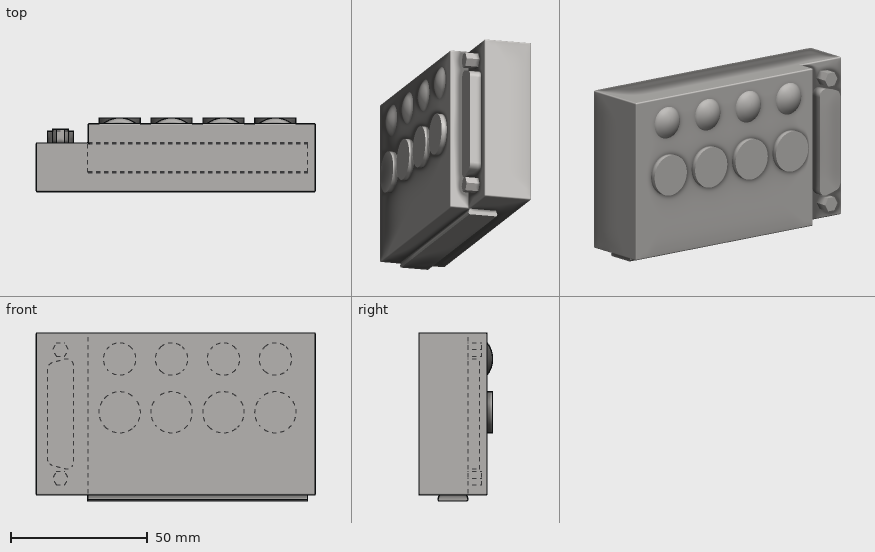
import cadquery as cq
import math

LENGTH = 102.0
HEIGHT = 59.4
DEPTH = 25.0
SHELF_LENGTH = 19.0
SHELF_DEPTH = 18.0
EDGE_RADIUS = 0.5

CONTROL_COUNT = 4
CONTROL_PITCH = 19.0
FIRST_CONTROL_X = 30.5
CONTROL_HEIGHT = 2.0
BUTTON_DIAMETER = 15.1
BUTTON_Z = 30.3
DOME_BASE_RADIUS = 5.9
DOME_Z = HEIGHT - 9.6

CONNECTOR_X = 8.9
CONNECTOR_Z = HEIGHT / 2
CONNECTOR_LENGTH = 40.2
CONNECTOR_WIDTH = 9.6
CONNECTOR_HEIGHT = 4.3
CONNECTOR_CORNER_RADIUS = 2.7
CONNECTOR_TAPER_ANGLE = 15.0
POST_SIDES = 6
POST_ACROSS_FLATS = 5.0
POST_HEIGHT = 5.0
POST_SPACING = 47.0

RAIL_START_X = 18.8
RAIL_END_X = 99.2
RAIL_HEIGHT = 2.1
RAIL_TOP_WIDTH = 10.1
RAIL_WIDEST = 11.1
RAIL_BOTTOM_WIDTH = 10.4
RAIL_LIP_HEIGHT = 0.6


def back_plane(y):
    """Sketch plane facing +Y at the given depth; local x is -X, local y is Z."""
    return cq.Workplane(cq.Plane(origin=(0, y, 0), xDir=(-1, 0, 0), normal=(0, 1, 0)))


def make_housing():
    block = cq.Workplane("XY").box(LENGTH, DEPTH, HEIGHT, centered=False)
    notch = (
        cq.Workplane("XY")
        .box(SHELF_LENGTH, DEPTH - SHELF_DEPTH, HEIGHT, centered=False)
        .translate((0, SHELF_DEPTH, 0))
    )
    inner_corner = cq.selectors.NearestToPointSelector((SHELF_LENGTH, SHELF_DEPTH, HEIGHT / 2))
    housing = block.cut(notch)
    all_edges = cq.selectors.StringSyntaxSelector("|X or |Y or |Z")
    outer_edges = housing.edges(all_edges - inner_corner)
    return outer_edges.fillet(EDGE_RADIUS)


def make_button(x):
    return back_plane(DEPTH).center(-x, BUTTON_Z).circle(BUTTON_DIAMETER / 2).extrude(CONTROL_HEIGHT)


def make_dome(x):
    sphere_radius = (DOME_BASE_RADIUS**2 + CONTROL_HEIGHT**2) / (2 * CONTROL_HEIGHT)
    half_angle = math.asin(DOME_BASE_RADIUS / sphere_radius) / 2
    mid_point = (
        sphere_radius * math.sin(half_angle),
        CONTROL_HEIGHT - sphere_radius * (1 - math.cos(half_angle)),
    )
    return (
        cq.Workplane("ZY")
        .lineTo(DOME_BASE_RADIUS, 0)
        .threePointArc(mid_point, (0, CONTROL_HEIGHT))
        .close()
        .revolve(360, (0, 0), (0, 1))
        .translate((x, DEPTH, DOME_Z))
    )


def make_connector():
    half_width = CONNECTOR_WIDTH / 2
    taper = math.radians(CONNECTOR_TAPER_ANGLE)
    radius = CONNECTOR_CORNER_RADIUS
    arc_overhang = radius / math.cos(taper) - radius
    wide_half = CONNECTOR_LENGTH / 2 + arc_overhang + radius * math.tan(taper)
    narrow_half = wide_half - CONNECTOR_WIDTH * math.tan(taper)
    return (
        back_plane(SHELF_DEPTH)
        .center(-CONNECTOR_X, CONNECTOR_Z)
        .polyline(
            [
                (-half_width, -wide_half),
                (-half_width, wide_half),
                (half_width, narrow_half),
                (half_width, -narrow_half),
            ]
        )
        .close()
        .extrude(CONNECTOR_HEIGHT)
        .edges("|Y")
        .fillet(radius)
    )


def make_post(z):
    across_corners = POST_ACROSS_FLATS / math.cos(math.pi / POST_SIDES)
    return (
        back_plane(SHELF_DEPTH)
        .center(-CONNECTOR_X, z)
        .polygon(POST_SIDES, across_corners)
        .extrude(POST_HEIGHT)
    )


def make_rail():
    lip_z = RAIL_LIP_HEIGHT - RAIL_HEIGHT
    back_side = [
        (RAIL_TOP_WIDTH / 2, 0),
        (RAIL_WIDEST / 2, lip_z),
        (RAIL_BOTTOM_WIDTH / 2, -RAIL_HEIGHT),
    ]
    front_side = [(-y, z) for y, z in reversed(back_side)]
    return (
        cq.Workplane("YZ", origin=(RAIL_START_X, DEPTH / 2, 0))
        .polyline(back_side + front_side)
        .close()
        .extrude(RAIL_END_X - RAIL_START_X)
    )


result = make_housing().union(make_rail()).union(make_connector())
for side in (-1, 1):
    result = result.union(make_post(CONNECTOR_Z + side * POST_SPACING / 2))
for index in range(CONTROL_COUNT):
    control_x = FIRST_CONTROL_X + index * CONTROL_PITCH
    result = result.union(make_button(control_x)).union(make_dome(control_x))